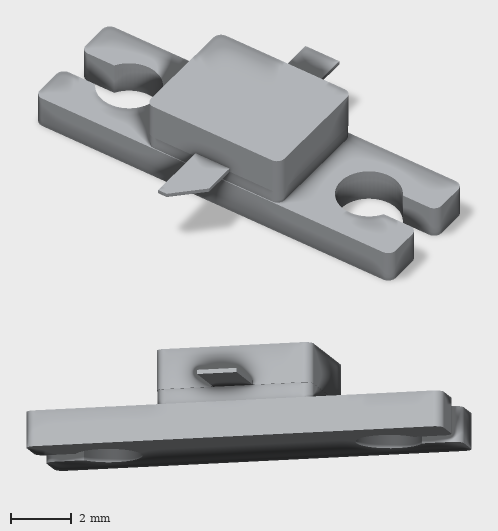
import cadquery as cq

flange_length = 14.15
flange_width = 4.26
flange_thickness = 1.2
corner_radius = 0.3

screw_hole_diameter = 2.24
screw_hole_spacing = 9.54
slot_width = 1.12

total_height = 3.04
cap_length = 5.3
cap_width = flange_width
frame_length = 5.29
frame_width = 4.2
frame_height = 0.5
cap_bottom = flange_thickness + frame_height
cap_height = total_height - cap_bottom

lead_span = 8.63
lead_width = 1.35
lead_offset = -0.01
lead_thickness = 0.14
lead_chamfer = 1.0


def rounded_block(length, width, height, bottom):
    """Block centred on the Z axis with rounded vertical edges."""
    block = cq.Workplane("XY").box(length, width, height, centered=(True, True, False))
    return block.edges("|Z").fillet(corner_radius).translate((0, 0, bottom))


def make_flange():
    flange = cq.Workplane("XY").box(
        flange_length, flange_width, flange_thickness, centered=(True, True, False)
    )
    for side in (-1, 1):
        hole_x = side * screw_hole_spacing / 2
        end_x = side * flange_length / 2
        hole = cq.Workplane("XY").center(hole_x, 0).circle(screw_hole_diameter / 2).extrude(flange_thickness)
        slot = (
            cq.Workplane("XY")
            .center((hole_x + end_x) / 2, 0)
            .rect(abs(end_x - hole_x), slot_width)
            .extrude(flange_thickness)
        )
        flange = flange.cut(hole).cut(slot)
    for end_face in ("<X", ">X"):
        flange = flange.faces(end_face).edges("|Z").fillet(corner_radius)
    return flange


def make_leads():
    """Strip running through the package, with one corner of its -Y end cut off."""
    strip = cq.Workplane("XY").box(lead_width, lead_span, lead_thickness, centered=(True, True, False))
    strip = strip.edges("|Z and >X and <Y").chamfer(lead_chamfer)
    return strip.translate((0, lead_offset, cap_bottom))


frame = rounded_block(frame_length, frame_width, frame_height, flange_thickness)
cap = rounded_block(cap_length, cap_width, cap_height, cap_bottom)

result = make_flange().union(frame).union(cap).union(make_leads())